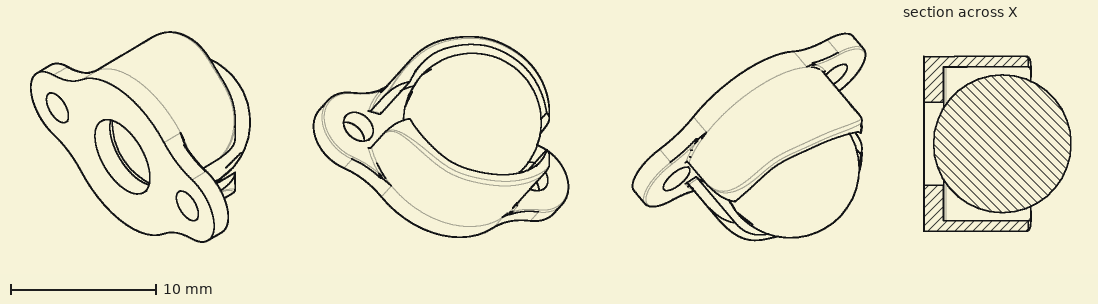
import cadquery as cq
import math

TOTAL_LENGTH = 19.03
TOTAL_DEPTH = 10.16
BODY_RADIUS = 6.03

FLANGE_THICKNESS = 1.37
EAR_RADIUS = 2.78
EAR_OFFSET = TOTAL_LENGTH / 2 - EAR_RADIUS
NECK_RADIUS = 5.25
SCREW_HOLE_RADIUS = 1.15
FLANGE_EDGE_FILLET = 0.11
PLAIN_EDGE_REACH = 4.95
WALL_FOOT_FILLET = 0.15

CAVITY_RADIUS = 5.29
BASE_OPENING_RADIUS = 2.85
SLOT_WIDTH = 3.06
RIM_FILLET = 0.23
RIM_HEIGHT = 7.36

BLOCK_REACH = 7.61
TOLERANCE = 0.002

BALL_RADIUS = 4.75
BALL_CENTRE_Y = TOTAL_DEPTH - BALL_RADIUS

RIM_LEFT_SIDE = [(-5.9, 3.8), (-5.77, 5.33), (-5.52, 6.25), (-5.05, 6.75), (-4.1, 7.2)]
RIM_CREST = [(-1.8, RIM_HEIGHT), (0.19, 7.17), (2.38, 6.7)]
RIM_RIGHT_SIDE = [(4.57, 6.25), (5.05, 5.9), (5.54, 5.15), (5.77, 4.28), (5.9, 2.85)]
RIM_PROFILE = RIM_LEFT_SIDE + RIM_CREST + RIM_RIGHT_SIDE


def cylinder_y(radius, start, end, x=0.0):
    """Cylinder along Y between two Y positions."""
    base = cq.Vector(x, start, 0)
    return cq.Workplane(cq.Solid.makeCylinder(radius, end - start, base, cq.Vector(0, 1, 0)))


def flange_outline():
    """Closed outline: two body arcs and two ear arcs joined by tangent concave necks."""
    to_body = BODY_RADIUS + NECK_RADIUS
    to_ear = EAR_RADIUS + NECK_RADIUS
    neck_x = (to_body**2 - to_ear**2 + EAR_OFFSET**2) / (2 * EAR_OFFSET)
    neck_z = math.sqrt(to_body**2 - neck_x**2)
    body_x = neck_x * BODY_RADIUS / to_body
    body_z = neck_z * BODY_RADIUS / to_body
    ear_x = EAR_OFFSET + (neck_x - EAR_OFFSET) * EAR_RADIUS / to_ear
    ear_z = neck_z * EAR_RADIUS / to_ear

    middle_x = (body_x + ear_x) / 2 - neck_x
    middle_z = (body_z + ear_z) / 2 - neck_z
    stretch = NECK_RADIUS / math.hypot(middle_x, middle_z)
    middle_x = neck_x + middle_x * stretch
    middle_z = neck_z + middle_z * stretch

    return (
        cq.Workplane("XZ")
        .moveTo(-body_x, body_z)
        .threePointArc((0, BODY_RADIUS), (body_x, body_z))
        .threePointArc((middle_x, middle_z), (ear_x, ear_z))
        .threePointArc((TOTAL_LENGTH / 2, 0), (ear_x, -ear_z))
        .threePointArc((middle_x, -middle_z), (body_x, -body_z))
        .threePointArc((0, -BODY_RADIUS), (-body_x, -body_z))
        .threePointArc((-middle_x, -middle_z), (-ear_x, -ear_z))
        .threePointArc((-TOTAL_LENGTH / 2, 0), (-ear_x, ear_z))
        .threePointArc((-middle_x, middle_z), (-body_x, body_z))
        .close()
    )


def make_flange():
    """Flange plate whose upper edge is rounded on the ears and plain where the wall covers it."""
    plate = flange_outline().extrude(-FLANGE_THICKNESS)
    rounded = plate.faces(">Y").edges().fillet(FLANGE_EDGE_FILLET)
    middle = cq.Workplane("XY").box(2 * PLAIN_EDGE_REACH, TOTAL_DEPTH, 2 * BLOCK_REACH)
    return rounded.cut(middle).union(plate.intersect(middle))


def make_wall_foot():
    """Lowest ring of the wall, with a concave fillet where it stands on the ears."""
    outer = BODY_RADIUS + WALL_FOOT_FILLET
    top = FLANGE_THICKNESS + WALL_FOOT_FILLET
    reach = WALL_FOOT_FILLET * (1 - math.sqrt(0.5))
    ring = (
        cq.Workplane("XY")
        .moveTo(CAVITY_RADIUS, FLANGE_THICKNESS)
        .lineTo(outer, FLANGE_THICKNESS)
        .threePointArc((BODY_RADIUS + reach, FLANGE_THICKNESS + reach), (BODY_RADIUS, top))
        .lineTo(CAVITY_RADIUS, top)
        .close()
        .revolve(360, (0, 0, 0), (0, 1, 0))
    )
    return ring.intersect(flange_outline().extrude(-top))


def make_slots():
    """One straight slot across both sides of the cup, down to the flange."""
    height = TOTAL_DEPTH - FLANGE_THICKNESS
    slots = cq.Workplane("XY").box(2 * BLOCK_REACH, height, SLOT_WIDTH)
    return slots.translate((0, FLANGE_THICKNESS + height / 2, 0))


def below_rim():
    """Block under the rim profile, which is constant along Z."""
    first_y = RIM_PROFILE[0][1]
    last_y = RIM_PROFILE[-1][1]
    return (
        cq.Workplane("XY")
        .moveTo(-BLOCK_REACH, 0)
        .lineTo(-BLOCK_REACH, first_y)
        .lineTo(*RIM_PROFILE[0])
        .spline(RIM_PROFILE[1:], includeCurrent=True)
        .lineTo(BLOCK_REACH, last_y)
        .lineTo(BLOCK_REACH, 0)
        .close()
        .extrude(BLOCK_REACH, both=True)
    )


def is_outer_rim(edge):
    """True for a curved edge above the flange that lies on the outer wall surface."""
    middle = edge.positionAt(0.5)
    on_wall = abs(math.hypot(middle.x, middle.z) - BODY_RADIUS) < TOLERANCE
    return on_wall and edge.geomType() != "LINE" and edge.Center().y > 2 * FLANGE_THICKNESS


def make_wall():
    """Two wall halves between the slots, standing on the foot ring, with the outer rim edge rounded."""
    start = FLANGE_THICKNESS + WALL_FOOT_FILLET
    wall = cylinder_y(BODY_RADIUS, start, TOTAL_DEPTH).intersect(below_rim()).cut(make_slots())
    rim = [edge for edge in wall.edges().vals() if is_outer_rim(edge)]
    return wall.newObject(rim).fillet(RIM_FILLET)


def make_housing():
    """Flange and cup in one piece, with the cavity, base opening and screw holes."""
    base = make_flange().union(make_wall_foot().cut(make_slots()))
    base = base.cut(cylinder_y(BASE_OPENING_RADIUS, 0, FLANGE_THICKNESS))
    for side in (-1, 1):
        base = base.cut(cylinder_y(SCREW_HOLE_RADIUS, 0, FLANGE_THICKNESS, side * EAR_OFFSET))
    wall = make_wall().cut(cylinder_y(CAVITY_RADIUS, FLANGE_THICKNESS, TOTAL_DEPTH))
    return base.union(wall, clean=False)


def make_ball():
    """Ball that sits loose in the cup."""
    return cq.Workplane("XY").sphere(BALL_RADIUS).translate((0, BALL_CENTRE_Y, 0))


housing = make_housing()
ball = make_ball()
result = cq.Compound.makeCompound([housing.val(), ball.val()])